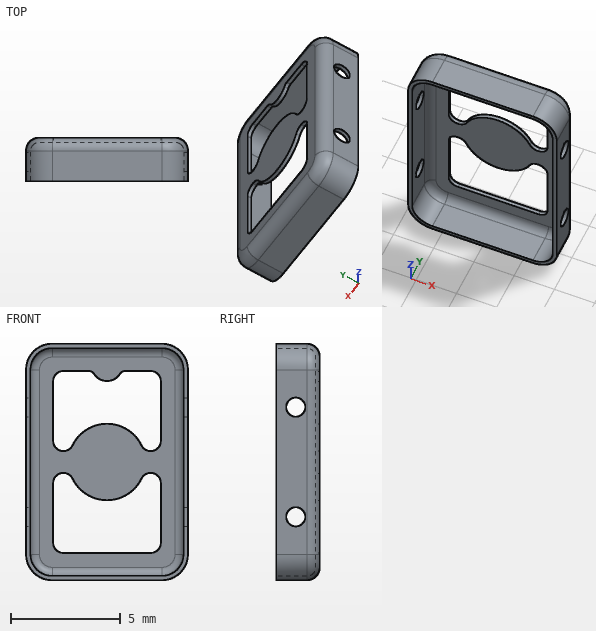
import cadquery as cq

WIDTH = 7.4
DEPTH = 2.0
HEIGHT = 10.8
WALL = 0.2
CORNER_RADIUS = 1.2
RIM_RADIUS = 0.6

OPENING_WIDTH = 4.9
OPENING_HEIGHT = 8.28
OPENING_CORNER_RADIUS = 0.45
CROSSBAR_HEIGHT = 1.0
DISK_RADIUS = 1.75

TAB_RADIUS = 0.7
TAB_REACH = 0.45
TAB_BLEND_RADIUS = 0.24

HOLE_DIAMETER = 0.86
HOLE_SPACING = 5.0
HOLE_FROM_OPEN_FACE = 0.9

OPEN_FACE_Y = -DEPTH / 2
FLOOR_INNER_Y = DEPTH / 2 - WALL


def rounded_block(inset):
    """Tray envelope shrunk by inset on the sides and the floor."""
    depth = DEPTH - inset
    return (
        cq.Workplane("XY")
        .box(WIDTH - 2 * inset, depth, HEIGHT - 2 * inset)
        .translate((0, -inset / 2, 0))
        .edges("|Y")
        .fillet(CORNER_RADIUS - inset)
        .faces(">Y")
        .edges()
        .fillet(RIM_RADIUS - inset)
    )


def floor_cylinder(radius, z):
    """Cylinder along Y that spans the floor thickness."""
    return (
        cq.Workplane("XZ", origin=(0, FLOOR_INNER_Y, z))
        .circle(radius)
        .extrude(-WALL)
    )


def floor_opening(side):
    """Cutter for the upper (side=1) or lower (side=-1) opening, before the tab."""
    height = (OPENING_HEIGHT - CROSSBAR_HEIGHT) / 2
    center_z = side * (CROSSBAR_HEIGHT + height) / 2
    return (
        cq.Workplane("XZ", origin=(0, FLOOR_INNER_Y, center_z))
        .rect(OPENING_WIDTH, height)
        .extrude(-WALL)
        .cut(floor_cylinder(DISK_RADIUS, 0))
        .edges("|Y")
        .fillet(OPENING_CORNER_RADIUS)
    )


def add_tab(opening):
    """Notch the upper opening's cutter so that a blended tab remains in the floor."""
    top_z = OPENING_HEIGHT / 2
    tab = floor_cylinder(TAB_RADIUS, top_z - TAB_REACH + TAB_RADIUS)
    tab_edges = cq.selectors.BoxSelector(
        (-TAB_RADIUS, OPEN_FACE_Y, top_z - TAB_REACH),
        (TAB_RADIUS, DEPTH / 2, top_z + TAB_REACH),
    )
    return opening.cut(tab).edges("|Y").edges(tab_edges).fillet(TAB_BLEND_RADIUS)


def side_holes():
    """Two cutters along X, each passing through both side walls."""
    return (
        cq.Workplane("YZ", origin=(0, OPEN_FACE_Y + HOLE_FROM_OPEN_FACE, 0))
        .pushPoints([(0, -HOLE_SPACING / 2), (0, HOLE_SPACING / 2)])
        .circle(HOLE_DIAMETER / 2)
        .extrude(WIDTH / 2, both=True)
    )


tray = rounded_block(0).cut(rounded_block(WALL))
upper_opening = add_tab(floor_opening(1))
lower_opening = floor_opening(-1)
result = tray.cut(upper_opening).cut(lower_opening).cut(side_holes())